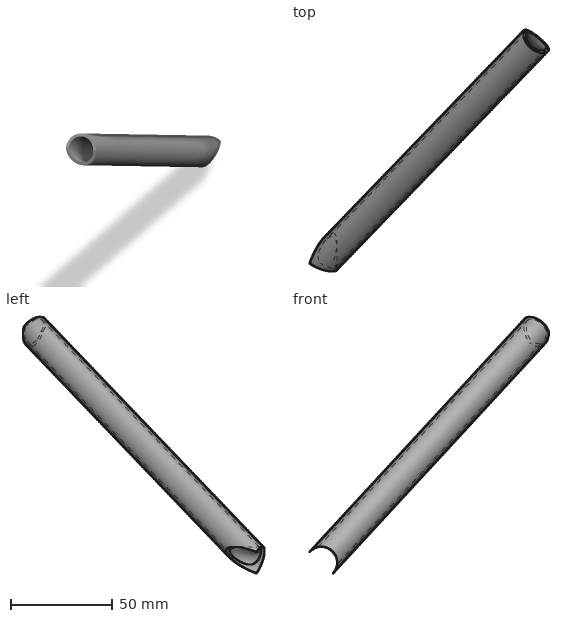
import cadquery as cq

top_centre = cq.Vector(106.1, 110.0, 115.0)
outer_radius = 7.8
wall = 1.5
inner_radius = outer_radius - wall

cope_radius = outer_radius
lower_overrun = 4 * outer_radius
cope_length = 10 * outer_radius

bevel_normal = cq.Vector(0.63, 0.78, 0.2)
bevel_block = 4 * outer_radius


def leaning_tube():
    """Hollow round tube with a square-cut top, running on past the joint."""
    length = top_centre.Length + lower_overrun
    top_plane = cq.Plane(origin=top_centre, normal=top_centre)
    return (
        cq.Workplane(top_plane)
        .circle(outer_radius)
        .circle(inner_radius)
        .extrude(-length)
    )


def crossing_tube_space():
    """Cylinder along Y, centred on the joint."""
    return cq.Workplane("XZ").circle(cope_radius).extrude(cope_length, both=True)


def top_bevel():
    """Block whose inner face is the steep plane at the top rim."""
    bevel_plane = cq.Plane(origin=top_centre, normal=bevel_normal)
    return cq.Workplane(bevel_plane).rect(bevel_block, bevel_block).extrude(bevel_block)


coped_tube = leaning_tube().cut(crossing_tube_space()).solids(">Z")
result = cq.Workplane(coped_tube.val()).cut(top_bevel())